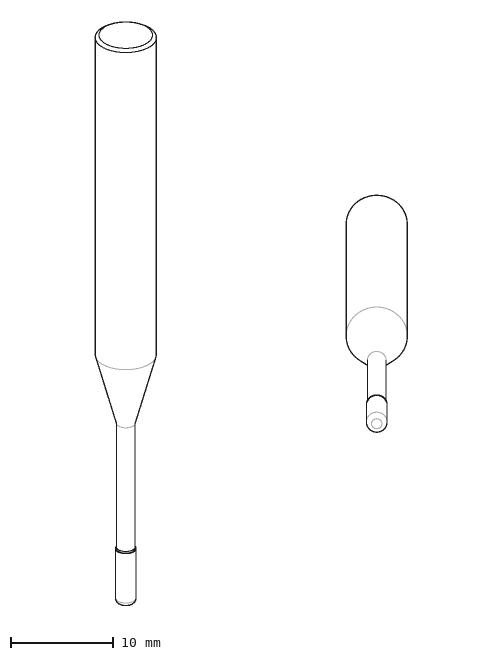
import cadquery as cq

TOTAL_LENGTH = 63.5

SHANK_RADIUS = 6.0 / 2
SHANK_BEVEL_WIDTH = 0.4
SHANK_BEVEL_HEIGHT = 0.25
CONE_TOP = 27.75
CONE_BOTTOM = 20.05
NECK_RADIUS = 1.85 / 2

HEAD_RADIUS = 2.05 / 2
HEAD_LENGTH = 6.05
TIP_CORNER_RADIUS = 0.5
STUB_LENGTH = 0.2
JOINT_HEIGHT = HEAD_LENGTH + STUB_LENGTH


def make_shank():
    """Turned shank, cone and neck, ending on the joint with the head."""
    profile = (
        cq.Workplane("XZ")
        .moveTo(0, JOINT_HEIGHT)
        .lineTo(NECK_RADIUS, JOINT_HEIGHT)
        .lineTo(NECK_RADIUS, CONE_BOTTOM)
        .lineTo(SHANK_RADIUS, CONE_TOP)
        .lineTo(SHANK_RADIUS, TOTAL_LENGTH - SHANK_BEVEL_HEIGHT)
        .lineTo(SHANK_RADIUS - SHANK_BEVEL_WIDTH, TOTAL_LENGTH)
        .lineTo(0, TOTAL_LENGTH)
        .close()
    )
    return profile.revolve(360, (0, 0, 0), (0, 1, 0))


def make_cutting_head():
    """Short cylinder with a rounded lower corner and a narrow stub on top."""
    profile = (
        cq.Workplane("XZ")
        .lineTo(HEAD_RADIUS - TIP_CORNER_RADIUS, 0)
        .radiusArc((HEAD_RADIUS, TIP_CORNER_RADIUS), -TIP_CORNER_RADIUS)
        .lineTo(HEAD_RADIUS, HEAD_LENGTH)
        .lineTo(NECK_RADIUS, HEAD_LENGTH)
        .lineTo(NECK_RADIUS, JOINT_HEIGHT)
        .lineTo(0, JOINT_HEIGHT)
        .close()
    )
    return profile.revolve(360, (0, 0, 0), (0, 1, 0))


shank = make_shank()
cutting_head = make_cutting_head()

result = cq.Compound.makeCompound([shank.val(), cutting_head.val()])